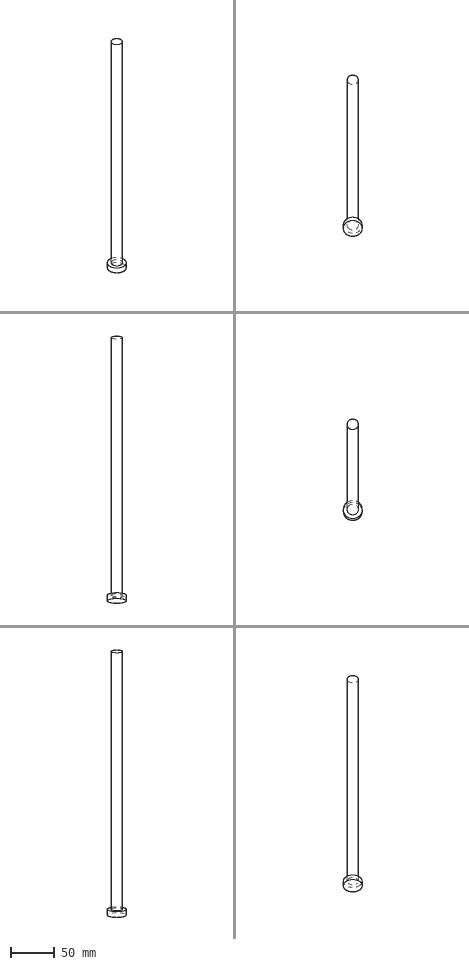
import cadquery as cq

TOTAL_LENGTH = 315.0
HEAD_DIAMETER = 22.0
HEAD_HEIGHT = 7.0
SHAFT_DIAMETER = 13.0


def cylinder(diameter, height):
    """Upright cylinder with its base centred on the origin."""
    return cq.Workplane("XY").circle(diameter / 2).extrude(height)


head = cylinder(HEAD_DIAMETER, HEAD_HEIGHT)
shaft = cylinder(SHAFT_DIAMETER, TOTAL_LENGTH)

result = head.union(shaft)